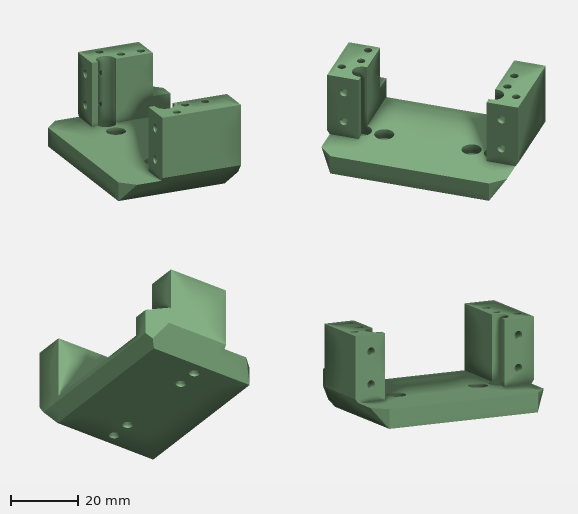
import cadquery as cq

length = 60.0
width = 37.9
height = 26.4
half_length = length / 2

plate_height = 6.0
wall_thickness = 9.9
wall_front = 12.1
wall_inner = half_length - wall_thickness
wall_depth = width - wall_front

corner_chamfer = 5.05
side_bevel_height = 7.15
back_bevel_run = 3.05
back_bevel_height = 4.3
step_depth = 5.75
step_height = 12.55

bore_y = 17.1
bore_offsets = (13.75, 20.75)
bore_diameter = 3.25
counterbore_diameter = 6.0
counterbore_floor = 3.0

screw_diameter = 2.5
top_screw_depth = 12.0
front_screw_depth = 5.0
inner_screw_offset = 23.05
outer_screw_offset = 27.4
outer_screw_y = 18.0
inner_screw_pitch = 6.55
left_screw_y = 23.05
right_screw_y = 22.8
front_screw_offset = 24.8
front_screw_heights = (11.2, 21.25)


def box(x, y, z, dx, dy, dz):
    """Box with its lowest corner at (x, y, z)."""
    return cq.Workplane("XY").box(dx, dy, dz, centered=False).translate((x, y, z))


def cylinder(x, y, z, diameter, depth):
    """Upright cylinder rising from (x, y, z)."""
    return cq.Workplane("XY").circle(diameter / 2).extrude(depth).translate((x, y, z))


def corner_wedge(side, y, inward, top):
    """Vertical 45 degree chamfer cutter at one corner, from the underside up to top."""
    corner = side * half_length
    outline = [(corner, y), (corner - side * corner_chamfer, y), (corner, y + inward * corner_chamfer)]
    return cq.Workplane("XY").polyline(outline).close().extrude(top)


def side_bevel(side):
    """Cutter for the sloped lower edge along one end."""
    edge = side * half_length
    outline = [(edge, 0), (edge - side * corner_chamfer, 0), (edge, side_bevel_height)]
    return cq.Workplane("XZ").polyline(outline).close().extrude(-width)


def back_bevel():
    """Cutter for the sloped lower edge along the back."""
    outline = [(width, 0), (width - back_bevel_run, 0), (width, back_bevel_height)]
    return cq.Workplane("YZ").polyline(outline).close().extrude(half_length, both=True)


def front_screw(x, z):
    """Cutter for a blind hole in the front face of a wall."""
    hole = cq.Workplane("XZ").circle(screw_diameter / 2).extrude(-front_screw_depth)
    return hole.translate((x, wall_front, z))


body = box(-half_length, 0, 0, length, width, plate_height)
for wall_start in (-half_length, wall_inner):
    body = body.union(box(wall_start, wall_front, 0, wall_thickness, wall_depth, height))

body = body.cut(box(-half_length, width - step_depth, step_height,
                    wall_thickness, step_depth, height - step_height))
body = body.cut(corner_wedge(-1, width, -1, step_height))

body = body.cut(back_bevel())
for side in (-1, 1):
    body = body.cut(side_bevel(side))
    body = body.cut(corner_wedge(side, 0, 1, plate_height))

for side, screw_y in ((-1, left_screw_y), (1, right_screw_y)):
    for offset in bore_offsets:
        body = body.cut(cylinder(side * offset, bore_y, 0, bore_diameter, height))
        body = body.cut(cylinder(side * offset, bore_y, counterbore_floor, counterbore_diameter, height))

    top_screws = [
        (inner_screw_offset, screw_y),
        (inner_screw_offset, screw_y + inner_screw_pitch),
        (outer_screw_offset, outer_screw_y),
    ]
    for offset, y in top_screws:
        body = body.cut(cylinder(side * offset, y, height - top_screw_depth, screw_diameter, top_screw_depth))

    for z in front_screw_heights:
        body = body.cut(front_screw(side * front_screw_offset, z))

result = body